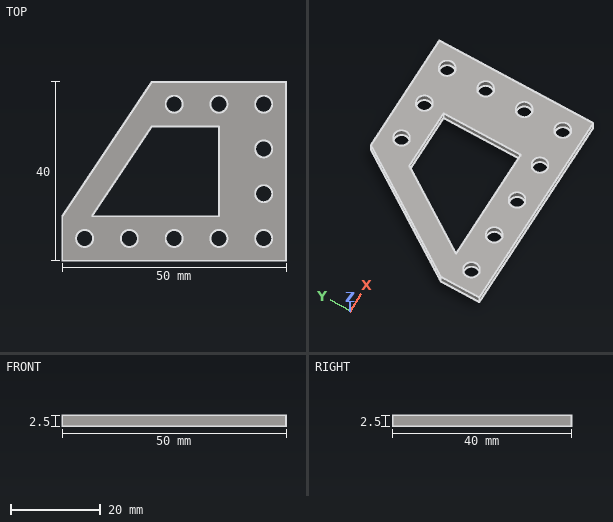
import cadquery as cq

pitch = 10.0
columns = 5
rows = 4
thickness = 2.5
hole_diameter = 3.75

length = columns * pitch
width = rows * pitch

slope_bottom_y = pitch
slope_top_x = 2 * pitch
slope_run_per_rise = slope_top_x / (width - slope_bottom_y)

window_bottom = pitch
window_top = width - pitch
window_right = 3.5 * pitch
window_top_left = slope_top_x
window_bottom_left = window_top_left - (window_top - window_bottom) * slope_run_per_rise


def grid_point(column, row):
    """Centre of a grid cell, counted from the lower left corner."""
    return ((column + 0.5) * pitch, (row + 0.5) * pitch)


def prism(points):
    """Closed outline extruded through the plate thickness."""
    return cq.Workplane("XY").polyline(points).close().extrude(thickness)


plate = prism([
    (0, 0),
    (length, 0),
    (length, width),
    (slope_top_x, width),
    (0, slope_bottom_y),
])

window = prism([
    (window_bottom_left, window_bottom),
    (window_right, window_bottom),
    (window_right, window_top),
    (window_top_left, window_top),
])

first_top_column = 2
bottom_row = [grid_point(column, 0) for column in range(columns)]
right_column = [grid_point(columns - 1, row) for row in range(1, rows - 1)]
top_row = [grid_point(column, rows - 1) for column in range(first_top_column, columns)]

holes = (
    cq.Workplane("XY")
    .pushPoints(bottom_row + right_column + top_row)
    .circle(hole_diameter / 2)
    .extrude(thickness)
)

result = plate.cut(window).cut(holes)